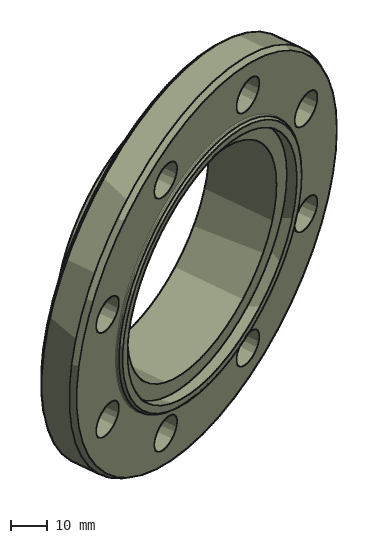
import cadquery as cq

bore_diameter = 72.1
seal_recess_diameter = 82.0
hub_diameter = 76.1
raised_face_diameter = 88.1
flange_diameter = 128.0

overall_length = 25.5
flange_thickness = 11.75
raised_face_height = 1.75
hub_length = overall_length - flange_thickness - raised_face_height

hub_fillet_radius = 4.0
front_chamfer = 1.0
back_chamfer_length = 1.75
back_chamfer_depth = 1.0
raised_face_chamfer = 0.7
raised_face_fillet_radius = 0.3
seal_recess_depth = 3.3

bolt_count = 8
bolt_circle_diameter = 104.0
bolt_hole_diameter = 11.0


def make_flange_body():
    """Revolve the radial half section of the flange about the X axis."""
    bore_radius = bore_diameter / 2
    recess_radius = seal_recess_diameter / 2
    hub_radius = hub_diameter / 2
    raised_face_radius = raised_face_diameter / 2
    flange_radius = flange_diameter / 2
    flange_front = hub_length
    flange_back = flange_front + flange_thickness

    section = (
        cq.Workplane("XY")
        .moveTo(0, bore_radius)
        .lineTo(0, hub_radius)
        .lineTo(flange_front - hub_fillet_radius, hub_radius)
        .radiusArc((flange_front, hub_radius + hub_fillet_radius), -hub_fillet_radius)
        .lineTo(flange_front, flange_radius - front_chamfer)
        .lineTo(flange_front + front_chamfer, flange_radius)
        .lineTo(flange_back - back_chamfer_length, flange_radius)
        .lineTo(flange_back, flange_radius - back_chamfer_depth)
        .lineTo(flange_back, raised_face_radius + raised_face_fillet_radius)
        .radiusArc(
            (flange_back + raised_face_fillet_radius, raised_face_radius), -raised_face_fillet_radius
        )
        .lineTo(overall_length - raised_face_chamfer, raised_face_radius)
        .lineTo(overall_length, raised_face_radius - raised_face_chamfer)
        .lineTo(overall_length, recess_radius)
        .lineTo(overall_length - seal_recess_depth, recess_radius)
        .lineTo(overall_length - seal_recess_depth, bore_radius)
        .close()
    )
    return section.revolve(360, (0, 0, 0), (1, 0, 0))


def make_bolt_holes():
    """Through cutters on the bolt circle, straddling the Y and Z axes."""
    half_pitch_angle = 360 / bolt_count / 2
    return (
        cq.Workplane("YZ")
        .polarArray(bolt_circle_diameter / 2, half_pitch_angle, 360, bolt_count)
        .circle(bolt_hole_diameter / 2)
        .extrude(overall_length)
    )


result = make_flange_body().cut(make_bolt_holes())